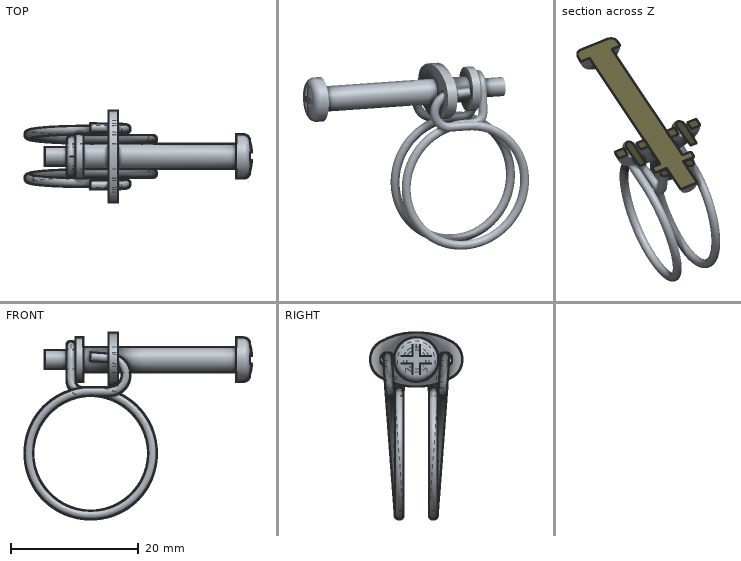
import cadquery as cq
import math


tip_radius = 1.5
shank_radius = 2.0
head_radius = 3.5
screw_tip_x = -7.2
collar_start_x = -2.4
collar_thickness = 1.25
head_start_x = 22.82
head_rim_thickness = 1.07
head_corner_radius = 1.15
crown_height = 0.32
cross_slot_width = 1.18
cross_slot_depth = crown_height

plate_start_x = 2.8
plate_thickness = 1.55
plate_half_width = 7.25
plate_half_height = 4.3
plate_end_radius = 3.2
wire_hole_y = 4.5
wire_hole_radius = 1.1

wire_diameter = 1.4
wire_radius = wire_diameter / 2
loop_inner_radius = 9.0
loop_radius = loop_inner_radius + wire_radius
loop_center_z = -14.7
inner_y = 2.68
outer_y = 4.15
arm_straight = 2.93
arm_bend_inner_radius = 1.93
arm_bend_radius = arm_bend_inner_radius + wire_radius
arm_end_x = -0.07
arm_end_slope = 4.0
hook_clearance = 0.018
hook_radius = tip_radius + hook_clearance + wire_radius
hook_x = collar_start_x - hook_clearance - wire_radius
hook_bend_radius = 1.8


def make_screw():
    """Turned screw: thin tip, collar, shank and a domed head with a cross slot."""
    collar_end_x = collar_start_x + collar_thickness
    rim_end_x = head_start_x + head_rim_thickness
    crown_radius = head_radius - head_corner_radius
    crown_start_x = rim_end_x + head_corner_radius
    crown_top_x = crown_start_x + crown_height
    dome_radius = (crown_radius**2 + crown_height**2) / (2 * crown_height)
    corner_middle = (
        rim_end_x + head_corner_radius * math.sin(math.pi / 4),
        crown_radius + head_corner_radius * math.cos(math.pi / 4),
    )
    screw = (
        cq.Workplane("XY")
        .moveTo(screw_tip_x, 0)
        .lineTo(screw_tip_x, tip_radius)
        .lineTo(collar_start_x, tip_radius)
        .lineTo(collar_start_x, head_radius)
        .lineTo(collar_end_x, head_radius)
        .lineTo(collar_end_x, shank_radius)
        .lineTo(head_start_x, shank_radius)
        .lineTo(head_start_x, head_radius)
        .lineTo(rim_end_x, head_radius)
        .threePointArc(corner_middle, (crown_start_x, crown_radius))
        .radiusArc((crown_top_x, 0), dome_radius)
        .close()
        .revolve(360, (0, 0, 0), (1, 0, 0))
    )
    slot = (
        cq.Workplane("YZ", origin=(crown_top_x, 0, 0))
        .rect(2 * head_radius, cross_slot_width)
        .extrude(-cross_slot_depth)
    )
    for angle in (0, 90):
        screw = screw.cut(slot.rotate((0, 0, 0), (1, 0, 0), angle))
    return screw


def make_plate():
    """Lens-shaped plate of four tangent arcs, drilled for the screw and both wire ends."""
    end_center_y = plate_half_width - plate_end_radius
    rise = plate_half_height - plate_end_radius
    long_center_z = (end_center_y**2 - rise**2) / (2 * rise)
    lean = math.atan2(long_center_z, end_center_y)
    tangent_y = end_center_y + plate_end_radius * math.cos(lean)
    tangent_z = plate_end_radius * math.sin(lean)
    outline = (
        cq.Workplane("YZ", origin=(plate_start_x, 0, 0))
        .moveTo(-tangent_y, tangent_z)
        .threePointArc((0, plate_half_height), (tangent_y, tangent_z))
        .threePointArc((plate_half_width, 0), (tangent_y, -tangent_z))
        .threePointArc((0, -plate_half_height), (-tangent_y, -tangent_z))
        .threePointArc((-plate_half_width, 0), (-tangent_y, tangent_z))
        .close()
    )
    holes = (
        cq.Workplane("YZ", origin=(plate_start_x, 0, 0))
        .circle(shank_radius)
        .pushPoints([(-wire_hole_y, 0), (wire_hole_y, 0)])
        .circle(wire_hole_radius)
        .extrude(plate_thickness)
    )
    return outline.extrude(plate_thickness).cut(holes)


def wire_side_edges(side):
    """Centreline on one side (+1 or -1 in Y), from the arm's free end to the top of the hook."""
    loop_top_z = loop_center_z + loop_radius
    loop_bottom_z = loop_center_z - loop_radius

    arm_center_z = loop_top_z + arm_bend_radius
    arm_lean = (wire_hole_y - outer_y) / (2 * arm_bend_radius)

    def arm_point(x, z):
        return cq.Vector(x, side * (outer_y + arm_lean * (z - loop_top_z)), z)

    slope = math.radians(arm_end_slope)
    bend_end_x = arm_straight + arm_bend_radius * math.sin(slope)
    bend_end_z = arm_center_z + arm_bend_radius * math.cos(slope)
    arm_end_z = bend_end_z + (bend_end_x - arm_end_x) * math.tan(slope)
    arm_end = arm_point(arm_end_x, arm_end_z)
    bend_end = arm_point(bend_end_x, bend_end_z)
    bend_middle = arm_point(arm_straight + arm_bend_radius, arm_center_z)
    bend_start = arm_point(arm_straight, loop_top_z)

    loop_start = arm_point(0, loop_top_z)
    slant_middle = cq.Vector(-loop_radius, side * (outer_y + inner_y) / 2, loop_center_z)
    loop_bottom = cq.Vector(0, side * inner_y, loop_bottom_z)
    flat_middle = cq.Vector(loop_radius, side * inner_y, loop_center_z)
    loop_end = cq.Vector(0, side * inner_y, loop_top_z)

    foot_distance = math.hypot(inner_y, loop_top_z)
    leg_lean = math.asin(hook_radius / foot_distance) - math.atan2(inner_y, -loop_top_z)

    def hook_point(x, height):
        return cq.Vector(
            x,
            side * (inner_y + height * math.sin(leg_lean)),
            loop_top_z + height * math.cos(leg_lean),
        )

    foot_center_x = hook_x + hook_bend_radius
    diagonal = hook_bend_radius * math.cos(math.pi / 4)
    foot_start = hook_point(foot_center_x, 0)
    foot_middle = hook_point(foot_center_x - diagonal, hook_bend_radius - diagonal)
    foot_end = hook_point(hook_x, hook_bend_radius)
    leg_end = hook_point(hook_x, math.sqrt(foot_distance**2 - hook_radius**2))
    crest = cq.Vector(hook_x, 0, hook_radius)
    crest_angle = (math.atan2(leg_end.z, abs(leg_end.y)) + math.pi / 2) / 2
    crest_middle = cq.Vector(
        hook_x,
        side * hook_radius * math.cos(crest_angle),
        hook_radius * math.sin(crest_angle),
    )

    return [
        cq.Edge.makeLine(arm_end, bend_end),
        cq.Edge.makeThreePointArc(bend_end, bend_middle, bend_start),
        cq.Edge.makeLine(bend_start, loop_start),
        cq.Edge.makeThreePointArc(loop_start, slant_middle, loop_bottom),
        cq.Edge.makeThreePointArc(loop_bottom, flat_middle, loop_end),
        cq.Edge.makeLine(loop_end, foot_start),
        cq.Edge.makeThreePointArc(foot_start, foot_middle, foot_end),
        cq.Edge.makeLine(foot_end, leg_end),
        cq.Edge.makeThreePointArc(leg_end, crest_middle, crest),
    ]


def make_wire_half(side):
    """Round wire swept along one side's centreline."""
    edges = wire_side_edges(side)
    path = cq.Workplane(cq.Wire.assembleEdges(edges))
    free_end = cq.Plane(origin=edges[0].startPoint(), normal=edges[0].tangentAt(0))
    return cq.Workplane(free_end).circle(wire_radius).sweep(path)


def make_wire():
    """One continuous wire, its two mirrored sides joined at the top of the hook."""
    return make_wire_half(1).union(make_wire_half(-1))


screw = make_screw()
plate = make_plate()
wire = make_wire()

result = cq.Compound.makeCompound([body.solids().val() for body in (screw, plate, wire)])